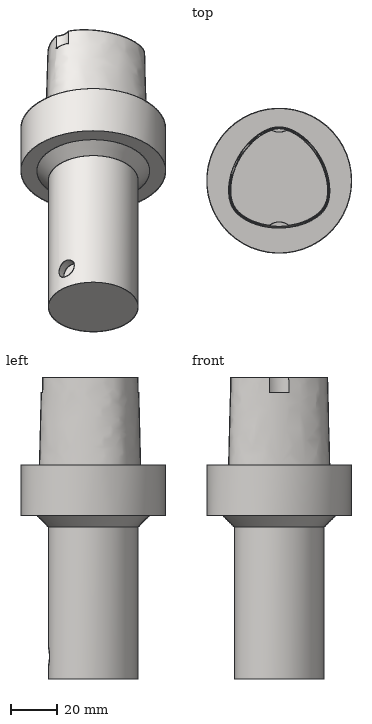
import cadquery as cq
import math

total_length = 131.0
taper_length = 38.0
flange_length = 22.0
collar_length = 5.0

shank_diameter = 39.0
flange_diameter = 62.98
collar_diameter = shank_diameter + 2 * collar_length

taper_base_width = 44.0
taper_ratio = 1 / 20
taper_top_width = taper_base_width - taper_ratio * taper_length
lobe_eccentricity = 1.4
lobe_count = 3
points_per_lobe = 12

notch_depth = 6.5
notch_radius = 6.5
back_notch_reach = 21.1
front_notch_reach = 17.9

side_hole_diameter = 8.3
side_hole_depth = 4.0
side_hole_height = 9.8

collar_bottom = total_length - taper_length - flange_length - collar_length
flange_bottom = collar_bottom + collar_length
flange_top = flange_bottom + flange_length


def lobe_point(width, angle):
    """Point of the lobed section whose outward normal is at the given angle.

    The distance from the axis to the tangent line varies as a cosine of
    lobe_count times the angle from +Y, so one lobe points to +Y.
    """
    phase = lobe_count * (angle - math.pi / 2)
    tangent_distance = width / 2 + lobe_eccentricity * math.cos(phase)
    tangent_slope = -lobe_count * lobe_eccentricity * math.sin(phase)
    x = tangent_distance * math.cos(angle) - tangent_slope * math.sin(angle)
    y = tangent_distance * math.sin(angle) + tangent_slope * math.cos(angle)
    return x, y


def lobe_section(width):
    """Points of one closed lobed section, starting at -Y."""
    count = lobe_count * points_per_lobe
    start = -math.pi / 2
    return [lobe_point(width, start + 2 * math.pi * i / count) for i in range(count)]


def make_body():
    """Shank, conical collar and flange, revolved about Z."""
    return (
        cq.Workplane("XZ")
        .polyline(
            [
                (0, 0),
                (shank_diameter / 2, 0),
                (shank_diameter / 2, collar_bottom),
                (collar_diameter / 2, flange_bottom),
                (flange_diameter / 2, flange_bottom),
                (flange_diameter / 2, flange_top),
                (0, flange_top),
            ]
        )
        .close()
        .revolve(360, (0, 0, 0), (0, 1, 0))
    )


def make_taper():
    """Lobed taper standing on the flange."""
    return (
        cq.Workplane("XY")
        .workplane(offset=flange_top)
        .spline(lobe_section(taper_base_width), periodic=True)
        .close()
        .workplane(offset=taper_length)
        .spline(lobe_section(taper_top_width), periodic=True)
        .close()
        .loft(ruled=True)
    )


def make_notch(center_y):
    """Upright round cutter for one rim notch."""
    return (
        cq.Workplane("XY")
        .workplane(offset=total_length - notch_depth)
        .center(0, center_y)
        .circle(notch_radius)
        .extrude(notch_depth)
    )


def make_side_hole():
    """Radial cutter entering the shank from +Y."""
    return (
        cq.Workplane("XZ")
        .workplane(offset=-shank_diameter / 2)
        .center(0, side_hole_height)
        .circle(side_hole_diameter / 2)
        .extrude(side_hole_depth)
    )


back_notch = make_notch(back_notch_reach + notch_radius)
front_notch = make_notch(-front_notch_reach - notch_radius)

result = make_body().union(make_taper())
result = result.cut(back_notch).cut(front_notch).cut(make_side_hole())